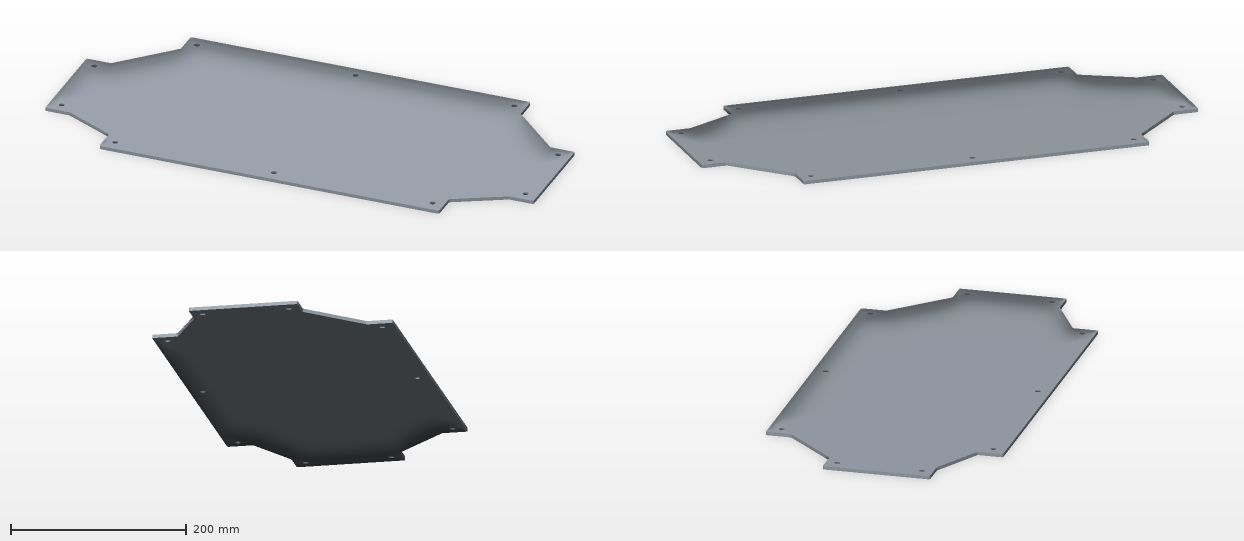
import cadquery as cq

length = 600.0
width = 280.0
thickness = 4.0

body_length = 417.5
tab_back_inset = 92.0
tab_front_inset = 62.0
straight_edge = 30.0
corner_radius = 2.0

hole_diameter = 6.5
hole_inset = 15.0
body_hole_inset = 14.0
tab_hole_inset = 13.0

half_length = length / 2
half_width = width / 2
half_body = body_length / 2
tab_back = half_width - tab_back_inset
tab_front = -half_width + tab_front_inset


def plate():
    """Flat plate, symmetric left to right, with a slanted cut at each corner."""
    right_side = [
        (half_body, -half_width),
        (half_body, -half_width + straight_edge),
        (half_length - straight_edge, tab_front),
        (half_length, tab_front),
        (half_length, tab_back),
        (half_length - straight_edge, tab_back),
        (half_body, half_width - straight_edge),
        (half_body, half_width),
    ]
    left_side = [(-x, y) for x, y in reversed(right_side)]
    return cq.Workplane("XY").polyline(right_side + left_side).close().extrude(thickness)


def round_corners(body):
    """Round every corner of the outline."""
    return body.edges("|Z").fillet(corner_radius)


def hole_centres():
    """Three holes along each long edge and two in each end tab."""
    body_hole_x = half_body - body_hole_inset
    body_hole_y = half_width - hole_inset
    tab_hole_x = half_length - hole_inset
    body_holes = [(x, y) for x in (-body_hole_x, 0, body_hole_x) for y in (-body_hole_y, body_hole_y)]
    tab_hole_ys = (tab_front + tab_hole_inset, tab_back - tab_hole_inset)
    tab_holes = [(x, y) for x in (-tab_hole_x, tab_hole_x) for y in tab_hole_ys]
    return body_holes + tab_holes


def drill_holes(body):
    """Drill the screw holes through the plate."""
    return body.faces(">Z").workplane(origin=(0, 0, thickness)).pushPoints(hole_centres()).hole(hole_diameter)


result = drill_holes(round_corners(plate()))